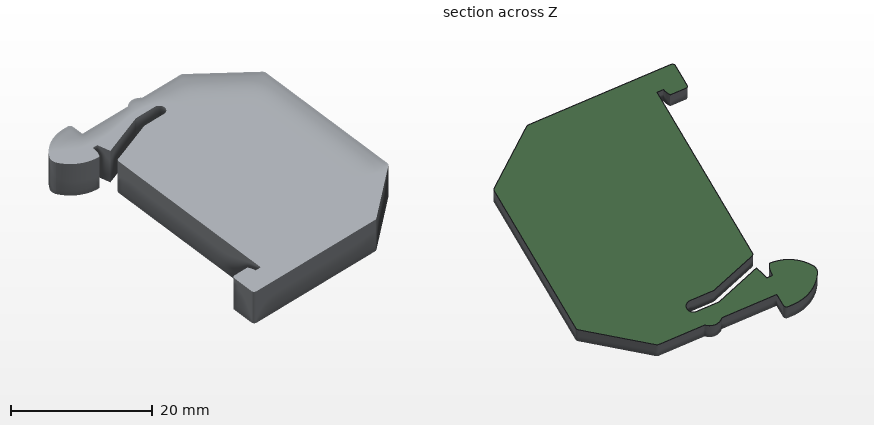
import cadquery as cq

length = 43.7
height = 34.9
thickness = 6.0
body_left = 2.55
body_bottom = 6.9
corner_cut_x = 7.47
corner_cut_y = 9.1
shoulder_y = height - corner_cut_y
shoulder_radius = 0.65

bump_y = 17.0
bump_half_height = 1.35
bump_depth = 0.6

slot_left = 5.15
slot_width = 1.95
slot_right = slot_left + slot_width
slot_top = 19.35
slot_radius = slot_width / 2
slot_bend_left_y = 14.8
slot_bend_right_y = 14.65
slot_mouth_x = 9.95
slot_mouth_radius = 0.45

barb_x = 7.85
barb_y = 7.5
notch_x = 5.72
notch_top = 6.95
notch_bottom = 6.07

head_top = 7.0
head_corner_radius = 0.52
head_side_y = 5.4
head_left_mid = (0.87, 2.45)
head_right = (7.75, 5.6)
head_right_mid = (6.75, 2.2)
head_crown_mid = (6.77, 6.0)
tip_x = 3.9
tip_half_width = 0.7
tip_rise = 0.17

foot_left = 39.1
foot_bottom = 2.6
foot_neck_x = 40.35
lip_inner_y = 5.95
lip_outer_y = 5.45
lip_mid = (39.7, 5.75)
foot_left_radius = 0.4
foot_right_radius = 0.52


def round_corner(solid, x, y, radius):
    """Round the upright edge standing at (x, y)."""
    edge = cq.selectors.NearestToPointSelector((x, y, thickness / 2))
    return solid.edges("|Z").edges(edge).fillet(radius)


profile = (
    cq.Workplane("XY")
    .moveTo(body_left, shoulder_y)
    .lineTo(body_left + corner_cut_x, height)
    .lineTo(length - corner_cut_x, height)
    .lineTo(length, shoulder_y)
    .lineTo(length, foot_bottom)
    .lineTo(foot_left, foot_bottom)
    .lineTo(foot_left, lip_outer_y)
    .threePointArc(lip_mid, (foot_neck_x, lip_inner_y))
    .lineTo(foot_neck_x, body_bottom)
    .lineTo(slot_mouth_x, body_bottom)
    .lineTo(slot_right, slot_bend_right_y)
    .lineTo(slot_right, slot_top - slot_radius)
    .threePointArc((slot_left + slot_radius, slot_top), (slot_left, slot_top - slot_radius))
    .lineTo(slot_left, slot_bend_left_y)
    .lineTo(barb_x, barb_y)
    .lineTo(notch_x, notch_top)
    .lineTo(notch_x, notch_bottom)
    .threePointArc(head_crown_mid, head_right)
    .threePointArc(head_right_mid, (tip_x + tip_half_width, tip_rise))
    .threePointArc((tip_x, 0), (tip_x - tip_half_width, tip_rise))
    .threePointArc(head_left_mid, (0, head_side_y))
    .lineTo(0, head_top)
    .lineTo(body_left, head_top)
    .lineTo(body_left, bump_y - bump_half_height)
    .threePointArc((body_left - bump_depth, bump_y), (body_left, bump_y + bump_half_height))
    .close()
)

result = profile.extrude(thickness)
result = round_corner(result, 0, head_top, head_corner_radius)
result = round_corner(result, slot_mouth_x, body_bottom, slot_mouth_radius)
result = round_corner(result, foot_left, foot_bottom, foot_left_radius)
result = round_corner(result, length, foot_bottom, foot_right_radius)
for shoulder_x in (body_left, length):
    result = round_corner(result, shoulder_x, shoulder_y, shoulder_radius)
for crown_x in (body_left + corner_cut_x, length - corner_cut_x):
    result = round_corner(result, crown_x, height, shoulder_radius)